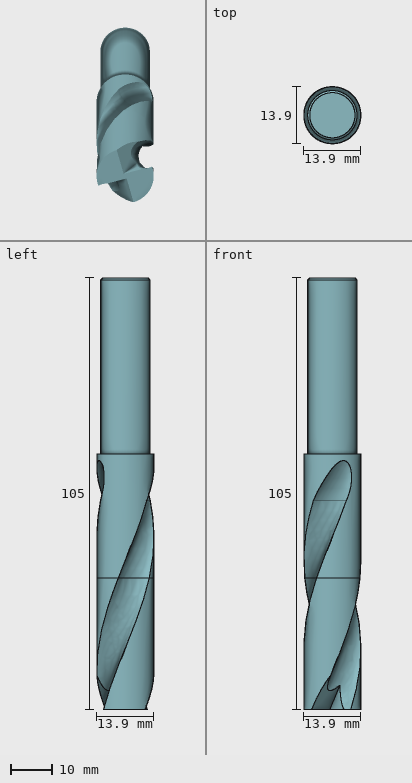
import cadquery as cq
import math

TOTAL_LENGTH = 105.0
HEAD_LENGTH = 32.0
BODY_TOP = 62.2

BODY_RADIUS = 13.9 / 2
SHANK_RADIUS = 12.0 / 2
SHANK_CHAMFER = 0.5

FLUTE_COUNT = 2
HELIX_ANGLE = 22.0
FLUTE_RADIUS = 4.53
CORE_RADIUS = 3.2
FLUTE_OFFSET = CORE_RADIUS + FLUTE_RADIUS
FLUTE_START_ANGLE = -85.5
FLUTE_TOP = 50.8
FLUTE_LEAD = 2 * math.pi * BODY_RADIUS / math.tan(math.radians(HELIX_ANGLE))
FLUTE_TWIST = 360 * FLUTE_TOP / FLUTE_LEAD

RUNOUT_BEND = 22.5
RUNOUT_TURN = math.radians(50)
RUNOUT_SLANT = math.radians(32)

GASH_WALL_OFFSET = 0.65
GASH_FACE_OFFSET = -0.2
GASH_FACE_SLANT = math.radians(30)


def arc_point(start, along, outward, radius, angle):
    """Point on an arc that leaves start in the direction along and bends outward."""
    return start + along * (radius * math.sin(angle)) + outward * (radius * (1 - math.cos(angle)))


def helical_flute():
    """Cutter for one flute, from the tip up to the flute top."""
    start = math.radians(FLUTE_START_ANGLE)
    return (
        cq.Workplane("XY")
        .moveTo(FLUTE_OFFSET * math.cos(start), FLUTE_OFFSET * math.sin(start))
        .circle(FLUTE_RADIUS)
        .twistExtrude(FLUTE_TOP, FLUTE_TWIST)
    )


def flute_runout():
    """Cutter that continues one flute outward through the body surface."""
    end = math.radians(FLUTE_START_ANGLE + FLUTE_TWIST)
    outward = cq.Vector(math.cos(end), math.sin(end), 0)
    around = cq.Vector(-math.sin(end), math.cos(end), 0)
    upward = cq.Vector(0, 0, 1)
    along = upward * math.cos(RUNOUT_SLANT) + around * math.sin(RUNOUT_SLANT)
    base = outward * FLUTE_OFFSET + upward * FLUTE_TOP
    path = cq.Edge.makeThreePointArc(
        base,
        arc_point(base, along, outward, RUNOUT_BEND, RUNOUT_TURN / 2),
        arc_point(base, along, outward, RUNOUT_BEND, RUNOUT_TURN),
    )
    section = cq.Workplane(cq.Plane(base, xDir=outward)).circle(FLUTE_RADIUS)
    return section.sweep(cq.Workplane(cq.Wire.assembleEdges([path])))


def tip_gash():
    """Wedge whose corner runs along the upright wall, open towards the flute."""
    wall = cq.Plane(origin=(0, 0, 0), xDir=(1, -1, 0), normal=(-1, -1, 0))
    reach = 2 * BODY_RADIUS
    height = (reach - GASH_FACE_OFFSET) / math.tan(GASH_FACE_SLANT)
    return (
        cq.Workplane(wall)
        .workplane(offset=GASH_WALL_OFFSET)
        .polyline([(GASH_FACE_OFFSET, 0), (reach, 0), (reach, height)])
        .close()
        .extrude(reach)
    )


def cut_around_axis(body, cutter):
    for i in range(FLUTE_COUNT):
        body = body.cut(cutter.rotate((0, 0, 0), (0, 0, 1), i * 360 / FLUTE_COUNT))
    return body


def cutting_head():
    """Fluted lower body with the gashed tip."""
    head = cq.Workplane("XY").circle(BODY_RADIUS).extrude(HEAD_LENGTH)
    head = cut_around_axis(head, helical_flute())
    return cut_around_axis(head, tip_gash())


def shank():
    """Fluted upper body with the plain chamfered stem on top."""
    body = (
        cq.Workplane("XY", origin=(0, 0, HEAD_LENGTH))
        .circle(BODY_RADIUS)
        .extrude(BODY_TOP - HEAD_LENGTH)
    )
    body = cut_around_axis(body, helical_flute())
    body = cut_around_axis(body, flute_runout())
    stem = (
        cq.Workplane("XY", origin=(0, 0, BODY_TOP))
        .circle(SHANK_RADIUS)
        .extrude(TOTAL_LENGTH - BODY_TOP)
        .faces(">Z")
        .chamfer(SHANK_CHAMFER)
    )
    return body.union(stem)


result = cq.Compound.makeCompound([cutting_head().val(), shank().val()])